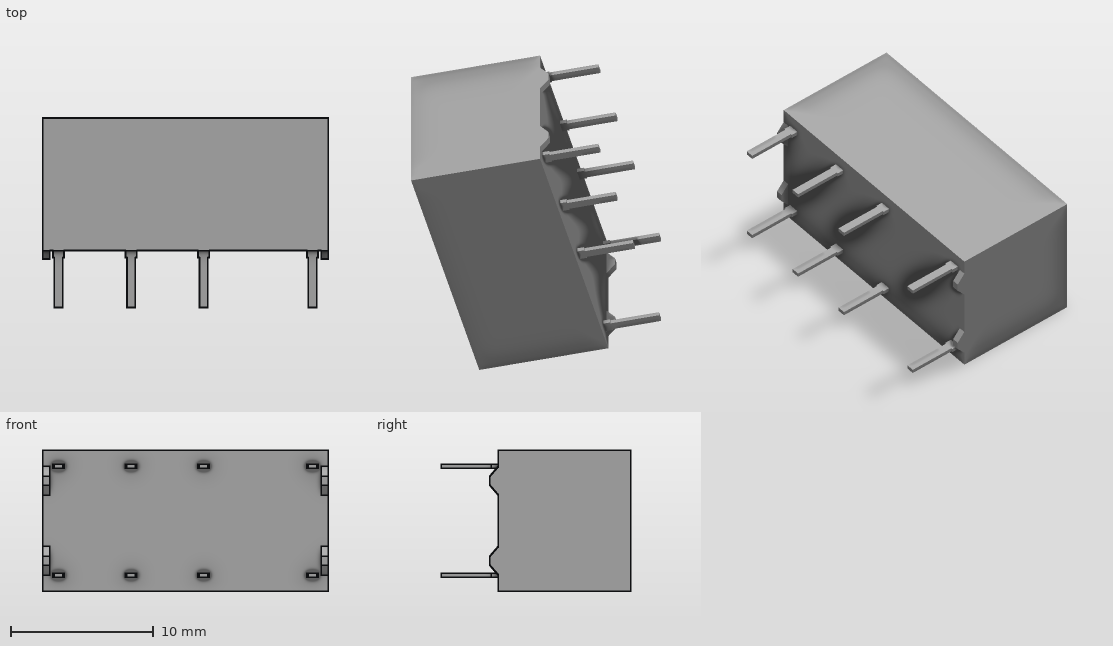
import cadquery as cq

HOUSING_WIDTH = 20.0
HOUSING_DEPTH = 9.3
HOUSING_HEIGHT = 9.9

FOOT_WIDTH = 0.5
FOOT_LENGTH = 0.6
FOOT_TIP_HEIGHT = 0.6
FOOT_ROOT_HEIGHT = 2.0
FOOT_SPACING_Z = 5.6

PIN_GRID = 2.55
PIN_COLUMNS = (0, 2, 4, 7)
PIN_ROW_SPACING = 3 * PIN_GRID
PIN_LENGTH = 4.0
PIN_WIDTH = 0.6
PIN_THICKNESS = 0.3
COLLAR_WIDTH = 0.8
COLLAR_LENGTH = 0.5


def make_foot(left_x, center_z):
    """Trapezoidal foot standing on the terminal face (Y = 0)."""
    half_root = FOOT_ROOT_HEIGHT / 2
    half_tip = FOOT_TIP_HEIGHT / 2
    return (
        cq.Workplane("YZ", origin=(left_x, 0, center_z))
        .moveTo(0, -half_root)
        .lineTo(-FOOT_LENGTH, -half_tip)
        .lineTo(-FOOT_LENGTH, half_tip)
        .lineTo(0, half_root)
        .close()
        .extrude(FOOT_WIDTH)
    )


def make_housing():
    """Plain block behind the terminal face, with a foot near each corner."""
    housing = cq.Workplane("XY").box(
        HOUSING_WIDTH, HOUSING_DEPTH, HOUSING_HEIGHT, centered=(True, False, True)
    )
    for left_x in (-HOUSING_WIDTH / 2, HOUSING_WIDTH / 2 - FOOT_WIDTH):
        for center_z in (-FOOT_SPACING_Z / 2, FOOT_SPACING_Z / 2):
            housing = housing.union(make_foot(left_x, center_z))
    return housing


def make_pin(center_x, center_z):
    """Flat pin with a wider collar where it meets the terminal face."""
    half_pin = PIN_WIDTH / 2
    half_collar = COLLAR_WIDTH / 2
    return (
        cq.Workplane("XY", origin=(center_x, 0, center_z))
        .moveTo(-half_collar, 0)
        .lineTo(-half_collar, -COLLAR_LENGTH)
        .lineTo(-half_pin, -COLLAR_LENGTH)
        .lineTo(-half_pin, -PIN_LENGTH)
        .lineTo(half_pin, -PIN_LENGTH)
        .lineTo(half_pin, -COLLAR_LENGTH)
        .lineTo(half_collar, -COLLAR_LENGTH)
        .lineTo(half_collar, 0)
        .close()
        .extrude(PIN_THICKNESS / 2, both=True)
    )


housing = make_housing()

pins = []
for column in PIN_COLUMNS:
    pin_x = (column - PIN_COLUMNS[-1] / 2) * PIN_GRID
    for pin_z in (-PIN_ROW_SPACING / 2, PIN_ROW_SPACING / 2):
        pins.append(make_pin(pin_x, pin_z).val())

result = cq.Compound.makeCompound([housing.val(), *pins])